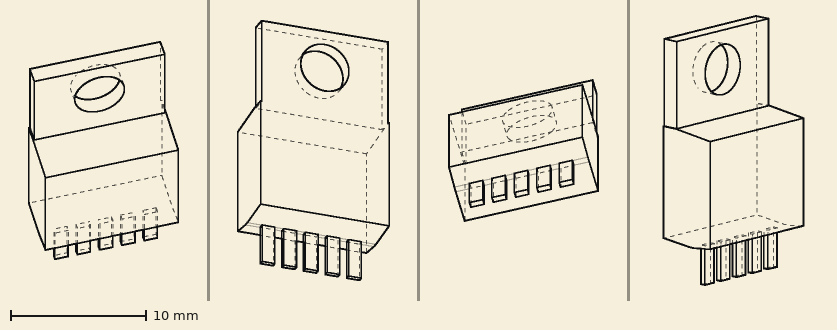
import cadquery as cq

total_height = 18.4
body_width = 10.2
body_depth = 4.71
tab_width = 10.01
tab_thickness = 1.27
hole_diameter = 3.8
hole_drop = 3.0

lead_length = 3.0
body_back_bottom = 3.28
body_front_bottom = 3.18
body_back_top = 11.78
body_front_top = 11.37

lead_count = 5
lead_pitch = 1.71
lead_width = 1.01
lead_thickness = 0.4
lead_back = 2.7
lead_front = lead_back + lead_thickness
lead_embed = 0.92


def make_body():
    """Moulded body: side profile with drafted ends, extruded across the width."""
    profile = [
        (0, body_back_bottom),
        (lead_back, lead_length),
        (lead_front, lead_length),
        (body_depth, body_front_bottom),
        (body_depth, body_front_top),
        (tab_thickness, body_back_top),
        (0, body_back_top),
    ]
    return cq.Workplane("XZ").polyline(profile).close().extrude(body_width / 2, both=True)


def make_tab():
    """Flat mounting tab, flush with the back of the body, with one through hole."""
    tab_bottom = body_back_bottom
    tab = cq.Workplane("XY").box(
        tab_thickness, tab_width, total_height - tab_bottom, centered=(False, True, False)
    )
    tab = tab.translate((0, 0, tab_bottom))
    hole = (
        cq.Workplane("YZ")
        .center(0, total_height - hole_drop)
        .circle(hole_diameter / 2)
        .extrude(tab_thickness)
    )
    return tab.cut(hole)


def make_lead(y):
    """Straight rectangular lead centred at the given y."""
    lead = cq.Workplane("XY").box(
        lead_thickness, lead_width, lead_length + lead_embed, centered=(False, True, False)
    )
    return lead.translate((lead_back, y, 0))


result = make_body().union(make_tab())
for index in range(lead_count):
    lead_y = (index - (lead_count - 1) / 2) * lead_pitch
    result = result.union(make_lead(lead_y))